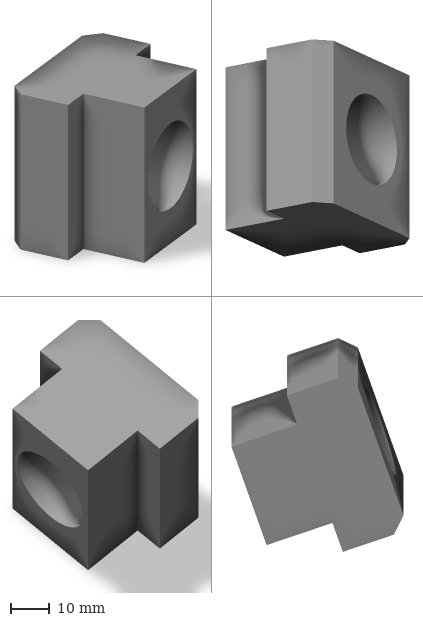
import cadquery as cq

height = 44.0
head_width = 44.0
head_thickness = 18.0
total_depth = 36.0
neck_width = 27.7
chamfer_size = 4.0
bore_diameter = 24.0

neck_depth = total_depth - head_thickness


def make_head():
    """Wide block with its two outer vertical edges chamfered."""
    block = cq.Workplane("XY").box(
        head_thickness, head_width, height, centered=(False, True, True)
    )
    return block.faces("<X").edges("|Z").chamfer(chamfer_size)


def make_neck():
    """Narrower block standing on the inner face of the head."""
    return (
        cq.Workplane("XY")
        .box(neck_depth, neck_width, height, centered=(False, True, True))
        .translate((head_thickness, 0, 0))
    )


def make_bore():
    """Cylinder along X through head and neck."""
    return cq.Workplane("YZ").circle(bore_diameter / 2).extrude(total_depth)


result = make_head().union(make_neck()).cut(make_bore())